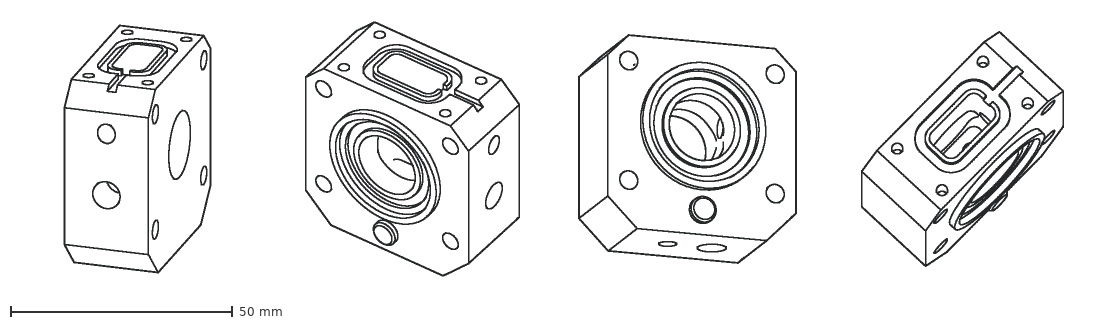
import cadquery as cq
import math

BLOCK_X = 20.0
BLOCK_Y = 45.0
TOP_Z = 20.0
BOTTOM_Z = -25.2
TOP_CHAMFER = 5.0
BOTTOM_CHAMFER = 7.0
FACE_X = -BLOCK_X / 2

BORE_D = 15.6
SPIGOT_D = 29.4
SPIGOT_RIM_ID = 26.2
GROOVE_OD = 23.0
GROOVE_ID = 18.4
SPIGOT_HEIGHT = 1.6
GROOVE_DEPTH = 1.0

PIN_D = 6.0
PIN_HEIGHT = 1.6
PIN_CHAMFER = 0.5
PIN_Z = -19.55

MOUNT_D = 4.3
MOUNT_Y = 17.5
MOUNT_Z = 14.0

PORT_X = 8.0
PORT_Y = BORE_D
PORT_R = 2.0
LIP_WIDTH = 1.0
LIP_R = PORT_R + LIP_WIDTH
CHANNEL_WIDTH = 2.2
CHANNEL_R = 5.0
CHANNEL_DEPTH = 1.3
VENT_WIDTH = 2.0
COVER_HOLE_D = 2.5
COVER_HOLE_DEPTH = 6.0
COVER_HOLE_X = 7.0
COVER_HOLE_Y = 14.0

HOPPER_TOP_Z = -11.0
HOPPER_END_Z = -15.5
HOPPER_LEDGE = 0.5
DRAIN_D = 4.04
DRAIN_Y = 4.75
HOPPER_END_D = DRAIN_D + 2 * HOPPER_LEDGE
HOPPER_END_FLAT = 0.05
HOPPER_END_R = (HOPPER_END_D - HOPPER_END_FLAT) / 2

FLOOR_HOLE_D = 4.2
FLOOR_HOLE_Y = -2.95
FLOOR_HOLE_Z = -13.1
FLOOR_HOLE_TILT = 21.0
OUTLET_D = 6.5
OUTLET_Y = -5.8
OUTLET_DEPTH = 9.0

SIDE_HOLE_D = 4.2
SIDE_HOLE_Z = 9.9
SIDE_HOLE_TILT = 25.0
POCKET_D = 6.5
POCKET_Z = -5.0
POCKET_DEPTH = 10.0


def cylinder(start, direction, diameter, length):
    """Solid cylinder from a start point along a direction."""
    solid = cq.Solid.makeCylinder(diameter / 2, length, cq.Vector(*start), cq.Vector(*direction))
    return cq.Workplane(solid)


def rounded_prism(margin, corner_radius, z_low, z_high):
    """Vertical prism around the port outline, larger by a margin on every side."""
    return (
        cq.Workplane("XY", origin=(0, 0, z_low))
        .rect(PORT_X + 2 * margin, PORT_Y + 2 * margin)
        .extrude(z_high - z_low)
        .edges("|Z")
        .fillet(corner_radius)
    )


def make_block():
    half_y = BLOCK_Y / 2
    outline = [
        (half_y - TOP_CHAMFER, TOP_Z),
        (half_y, TOP_Z - TOP_CHAMFER),
        (half_y, BOTTOM_Z + BOTTOM_CHAMFER),
        (half_y - BOTTOM_CHAMFER, BOTTOM_Z),
    ]
    mirrored = [(-y, z) for y, z in reversed(outline)]
    return cq.Workplane("YZ", origin=(FACE_X, 0, 0)).polyline(outline + mirrored).close().extrude(BLOCK_X)


def add_spigot(body):
    outward = (-1, 0, 0)
    face = (FACE_X, 0, 0)
    rim = cylinder(face, outward, SPIGOT_D, SPIGOT_HEIGHT).cut(
        cylinder(face, outward, SPIGOT_RIM_ID, SPIGOT_HEIGHT)
    )
    groove = cylinder(face, (1, 0, 0), GROOVE_OD, GROOVE_DEPTH).cut(
        cylinder(face, (1, 0, 0), GROOVE_ID, GROOVE_DEPTH)
    )
    return body.union(rim).cut(groove)


def add_pin(body):
    pin = cylinder((FACE_X, 0, PIN_Z), (-1, 0, 0), PIN_D, PIN_HEIGHT)
    return body.union(pin.faces("<X").chamfer(PIN_CHAMFER))


def cut_bore_and_mounts(body):
    along_x = (1, 0, 0)
    body = body.cut(cylinder((FACE_X, 0, 0), along_x, BORE_D, BLOCK_X))
    for y in (-MOUNT_Y, MOUNT_Y):
        for z in (-MOUNT_Z, MOUNT_Z):
            body = body.cut(cylinder((FACE_X, y, z), along_x, MOUNT_D, BLOCK_X))
    return body


def cut_port(body):
    channel_z = TOP_Z - CHANNEL_DEPTH
    channel = rounded_prism(LIP_WIDTH + CHANNEL_WIDTH, CHANNEL_R, channel_z, TOP_Z)
    channel = channel.cut(rounded_prism(LIP_WIDTH, LIP_R, channel_z, TOP_Z))
    vent = cq.Workplane("XY").box(VENT_WIDTH, BLOCK_Y / 2, CHANNEL_DEPTH, centered=(True, False, False))
    vent = vent.translate((0, -BLOCK_Y / 2, channel_z))
    body = body.cut(channel).cut(vent).cut(rounded_prism(0, PORT_R, HOPPER_TOP_Z, TOP_Z))
    for x in (-COVER_HOLE_X, COVER_HOLE_X):
        for y in (-COVER_HOLE_Y, COVER_HOLE_Y):
            body = body.cut(cylinder((x, y, TOP_Z), (0, 0, -1), COVER_HOLE_D, COVER_HOLE_DEPTH))
    return body


def cut_hopper(body):
    mouth = cq.Sketch().rect(PORT_X, PORT_Y).vertices().fillet(PORT_R)
    end = cq.Sketch().rect(HOPPER_END_D, HOPPER_END_D).vertices().fillet(HOPPER_END_R)
    hopper = (
        cq.Workplane("XY")
        .placeSketch(
            mouth.moved(cq.Location(cq.Vector(0, 0, HOPPER_TOP_Z))),
            end.moved(cq.Location(cq.Vector(0, DRAIN_Y, HOPPER_END_Z))),
        )
        .loft(ruled=True)
    )
    drain = cylinder((0, DRAIN_Y, HOPPER_END_Z), (0, 0, -1), DRAIN_D, HOPPER_END_Z - BOTTOM_Z)
    return body.cut(hopper).cut(drain)


def cut_outlet(body):
    tilt = math.radians(FLOOR_HOLE_TILT)
    downward = cq.Vector(0, -math.sin(tilt), -math.cos(tilt))
    floor_point = cq.Vector(0, FLOOR_HOLE_Y, FLOOR_HOLE_Z)
    outlet_top_z = BOTTOM_Z + OUTLET_DEPTH
    reach = (FLOOR_HOLE_Z - outlet_top_z) / math.cos(tilt) + FLOOR_HOLE_D / 2
    start = floor_point - downward * FLOOR_HOLE_D
    floor_hole = cylinder(start.toTuple(), downward.toTuple(), FLOOR_HOLE_D, FLOOR_HOLE_D + reach)
    outlet = cylinder((0, OUTLET_Y, BOTTOM_Z), (0, 0, 1), OUTLET_D, OUTLET_DEPTH)
    return body.cut(floor_hole).cut(outlet)


def cut_side_holes(body):
    tilt = math.radians(SIDE_HOLE_TILT)
    inward = cq.Vector(0, math.cos(tilt), -math.sin(tilt))
    entry = cq.Vector(0, -BLOCK_Y / 2, SIDE_HOLE_Z)
    reach = (BLOCK_Y - PORT_Y) / 2 / math.cos(tilt) + SIDE_HOLE_D / 2
    start = entry - inward * SIDE_HOLE_D
    body = body.cut(cylinder(start.toTuple(), inward.toTuple(), SIDE_HOLE_D, SIDE_HOLE_D + reach))
    return body.cut(cylinder((0, -BLOCK_Y / 2, POCKET_Z), (0, 1, 0), POCKET_D, POCKET_DEPTH))


result = make_block()
result = add_spigot(result)
result = add_pin(result)
result = cut_bore_and_mounts(result)
result = cut_port(result)
result = cut_hopper(result)
result = cut_outlet(result)
result = cut_side_holes(result)